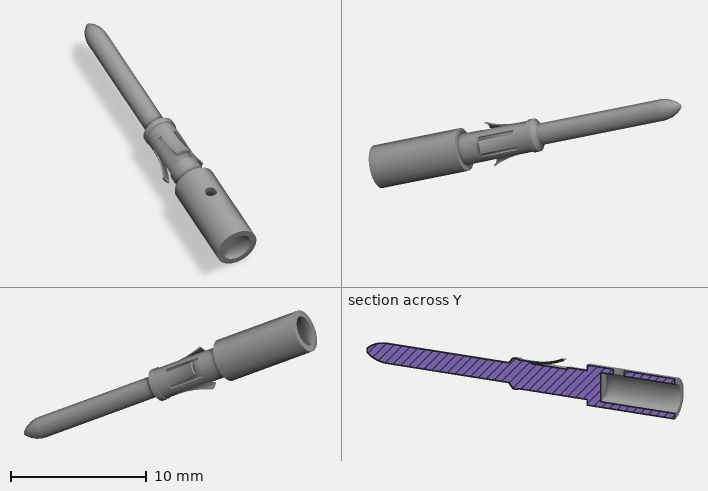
import cadquery as cq
import math

total_length = 24.7
nose_length = 1.53
collar_start = 11.35
collar_bevel_end = 11.68
collar_end = 12.13
barrel_start = 17.64

tip_radius = 0.17
pin_radius = 0.803
collar_radius = 1.24
neck_radius = 1.15
barrel_radius = 1.6

bore_radius = 1.14
bore_depth = 5.93
hole_diameter = 0.9
hole_x = 20.18
hole_y = 0.1

finger_count = 3
window_start = 13.15
window_end = 16.0
window_angle = 81.0
window_floor_radius = 1.01
finger_angle = 50.0
finger_thickness = 0.12
finger_reach = 2.55
finger_rise = 0.6


def turned_body():
    """Solid of revolution with a rounded nose that runs tangent into the pin."""
    nose_rise = pin_radius - tip_radius
    nose_arc_radius = (nose_length**2 + nose_rise**2) / (2 * nose_rise)
    half_sweep = math.asin(nose_length / nose_arc_radius) / 2
    nose_mid = (
        nose_length - nose_arc_radius * math.sin(half_sweep),
        pin_radius - nose_arc_radius * (1 - math.cos(half_sweep)),
    )
    return (
        cq.Workplane("XZ")
        .moveTo(0, 0)
        .lineTo(0, tip_radius)
        .threePointArc(nose_mid, (nose_length, pin_radius))
        .lineTo(collar_start, pin_radius)
        .lineTo(collar_bevel_end, collar_radius)
        .lineTo(collar_end, collar_radius)
        .lineTo(collar_end, neck_radius)
        .lineTo(barrel_start, neck_radius)
        .lineTo(barrel_start, barrel_radius)
        .lineTo(total_length, barrel_radius)
        .lineTo(total_length, 0)
        .close()
        .revolve(360, (0, 0, 0), (1, 0, 0))
    )


def crimp_bore():
    """Blind wire bore entering from the barrel end."""
    return cq.Workplane("YZ", origin=(total_length - bore_depth, 0, 0)).circle(bore_radius).extrude(bore_depth)


def inspection_hole():
    """Hole through the top wall of the barrel into the bore."""
    return cq.Workplane("XY", origin=(hole_x, hole_y, 0)).circle(hole_diameter / 2).extrude(barrel_radius)


def ring_sector(inner_radius, outer_radius, angle):
    """Closed ring-sector outline with radial sides, at the window start and centred on the top."""
    half_angle = math.radians(angle / 2)

    def right_corner(radius):
        return (radius * math.sin(half_angle), radius * math.cos(half_angle))

    def left_corner(radius):
        return (-radius * math.sin(half_angle), radius * math.cos(half_angle))

    return (
        cq.Workplane("YZ", origin=(window_start, 0, 0))
        .moveTo(*left_corner(inner_radius))
        .lineTo(*left_corner(outer_radius))
        .threePointArc((0, outer_radius), right_corner(outer_radius))
        .lineTo(*right_corner(inner_radius))
        .threePointArc((0, inner_radius), left_corner(inner_radius))
        .close()
    )


def window():
    """Shallow recess in the top of the neck, cut out past the neck surface."""
    outline = ring_sector(window_floor_radius, collar_radius, window_angle)
    return outline.extrude(window_end - window_start)


def finger():
    """Strip that leaves the neck surface tangentially and bends outward along an arc."""
    bend_radius = (finger_reach**2 + finger_rise**2) / (2 * finger_rise)
    bend_angle = math.degrees(math.asin(finger_reach / bend_radius))
    bend_height = neck_radius + bend_radius
    section = ring_sector(neck_radius - finger_thickness, neck_radius, finger_angle)
    return section.revolve(bend_angle, (0, bend_height, 0), (-1, bend_height, 0))


def around_neck(shape, index):
    """Copy of a top-side shape turned to its place among the equally spaced fingers."""
    return shape.rotate((0, 0, 0), (1, 0, 0), index * 360 / finger_count)


result = turned_body().cut(crimp_bore()).cut(inspection_hole())
for index in range(finger_count):
    result = result.cut(around_neck(window(), index))
for index in range(finger_count):
    result = result.union(around_neck(finger(), index))